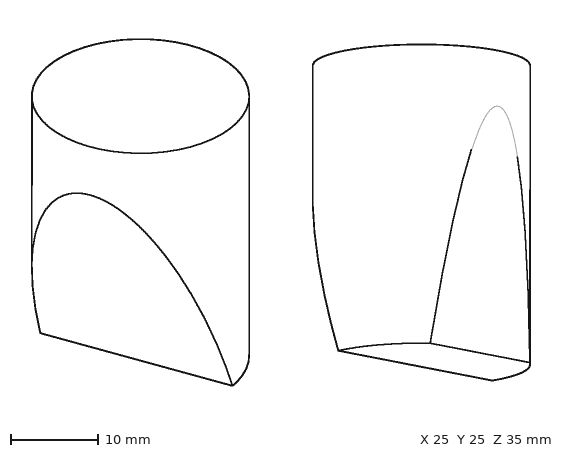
import cadquery as cq

diameter = 25.0
height = 35.0
straight_length = 6.5
front_tip_y = -1.0
back_tip_y = 9.55

radius = diameter / 2
shoulder_z = height - straight_length

bar = cq.Workplane("XY").circle(radius).extrude(height)

profile = (
    cq.Workplane("YZ")
    .moveTo(front_tip_y, 0)
    .lineTo(back_tip_y, 0)
    .lineTo(radius, shoulder_z)
    .lineTo(radius, height)
    .lineTo(-radius, height)
    .lineTo(-radius, shoulder_z)
    .close()
    .extrude(radius, both=True)
)

result = bar.intersect(profile)